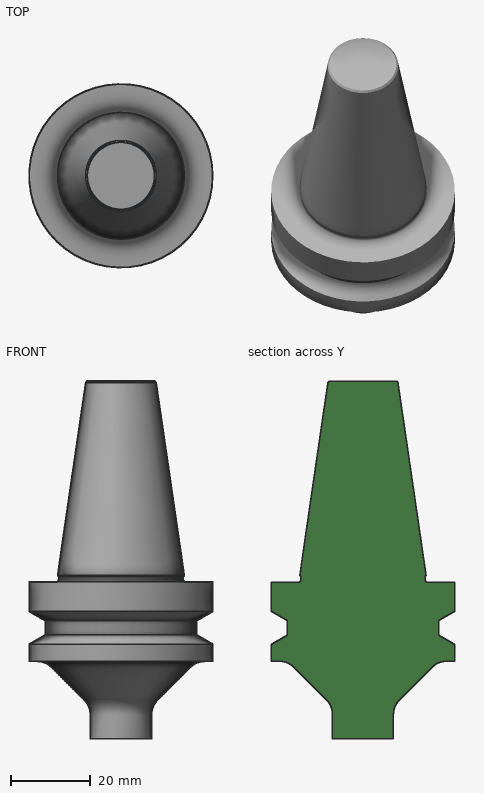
import cadquery as cq
import math


total_height = 89.7
flange_radius = 46.0 / 2

neck_radius = 15.4 / 2
neck_height = 6.2
blend_radius = 5.0
cone_angle = math.radians(45)

flange_bottom = 19.4
flange_top = 39.3
groove_radius = 38.0 / 2
groove_floor_bottom = 26.0
groove_floor_top = 29.6
groove_wall_angle = math.radians(30)

relief_radius = 31.3 / 2
relief_fillet = 0.5
relief_top = 40.6

taper_bottom = 41.0
taper_base_radius = 15.9
taper_slope = 7 / 24 / 2
tip_chamfer = 0.45


def arc_middle(center, radius, start_angle, end_angle):
    """Point halfway along an arc between two angles."""
    angle = (start_angle + end_angle) / 2
    return (center[0] + radius * math.cos(angle), center[1] + radius * math.sin(angle))


neck_blend_center = (neck_radius + blend_radius, neck_height)
neck_blend_middle = arc_middle(neck_blend_center, blend_radius, math.pi, math.pi - cone_angle)
cone_start = (
    neck_blend_center[0] - blend_radius * math.cos(cone_angle),
    neck_blend_center[1] + blend_radius * math.sin(cone_angle),
)

cone_end_z = flange_bottom - blend_radius * (1 - math.sin(cone_angle))
cone_end = (cone_start[0] + (cone_end_z - cone_start[1]) / math.tan(cone_angle), cone_end_z)
flange_blend_center = (
    cone_end[0] + blend_radius * math.cos(cone_angle),
    flange_bottom - blend_radius,
)
flange_blend_middle = arc_middle(flange_blend_center, blend_radius, math.pi - cone_angle, math.pi / 2)
flange_blend_end = (flange_blend_center[0], flange_bottom)

groove_wall_height = (flange_radius - groove_radius) * math.tan(groove_wall_angle)

relief_fillet_center = (relief_radius + relief_fillet, flange_top + relief_fillet)
relief_fillet_middle = arc_middle(relief_fillet_center, relief_fillet, -math.pi / 2, -math.pi)

tip_radius = taper_base_radius - (total_height - tip_chamfer - taper_bottom) * taper_slope

half_section = (
    cq.Workplane("XZ")
    .moveTo(0, 0)
    .lineTo(neck_radius, 0)
    .lineTo(neck_radius, neck_height)
    .threePointArc(neck_blend_middle, cone_start)
    .lineTo(*cone_end)
    .threePointArc(flange_blend_middle, flange_blend_end)
    .lineTo(flange_radius, flange_bottom)
    .lineTo(flange_radius, groove_floor_bottom - groove_wall_height)
    .lineTo(groove_radius, groove_floor_bottom)
    .lineTo(groove_radius, groove_floor_top)
    .lineTo(flange_radius, groove_floor_top + groove_wall_height)
    .lineTo(flange_radius, flange_top)
    .lineTo(relief_fillet_center[0], flange_top)
    .threePointArc(relief_fillet_middle, (relief_radius, relief_fillet_center[1]))
    .lineTo(relief_radius, relief_top)
    .lineTo(taper_base_radius, taper_bottom)
    .lineTo(tip_radius, total_height - tip_chamfer)
    .lineTo(tip_radius - tip_chamfer, total_height)
    .lineTo(0, total_height)
    .close()
)

result = half_section.revolve(360, (0, 0, 0), (0, 1, 0))